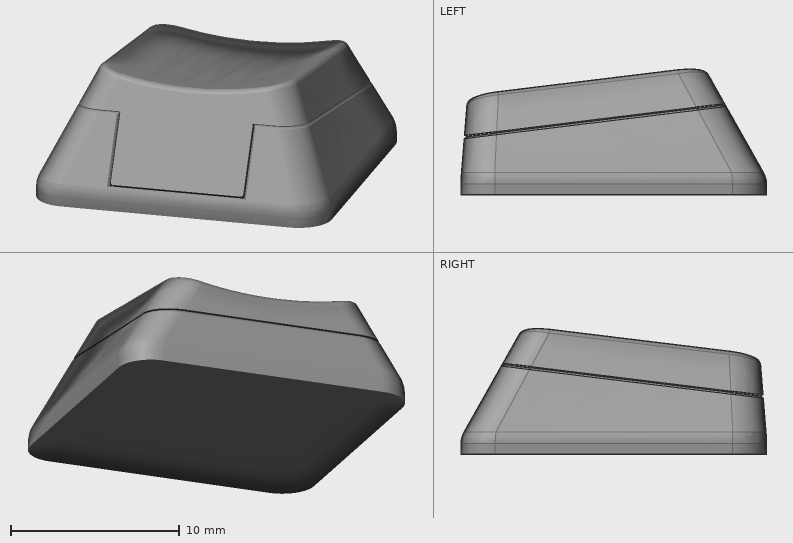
import cadquery as cq
import math

FOOT_SIZE = 18.16
FOOT_CORNER_RADIUS = 2.03
FOOT_HEIGHT = 1.0
BLEND_RISE = 0.35
BLEND_FRONT_RADIUS = 1.89
BLEND_BACK_RADIUS = 1.98
BLEND_OUTLINES = 5

TILT_ANGLE = 7.0
TOP_HEIGHT = 7.05
TOP_HALF_WIDTH = 5.95
TOP_FRONT_Y = -5.3
TOP_BACK_Y = 8.68
TOP_FRONT_RADIUS = 1.63
TOP_BACK_RADIUS = 1.85

DISH_RADIUS = 22.7
RIM_RADIUS = 0.4

SEAM_HEIGHT = 4.54
CLEARANCE = 0.07
BASE_CHAMFER = 0.13

SEAT_HALF_WIDTH = 5.63
SEAT_FRONT_Y = -4.9
SEAT_BACK_Y = 7.08
SEAT_CORNER_RADIUS = 1.09

TAB_HALF_WIDTH = 4.09
TAB_BOTTOM_HEIGHT = 1.55
TAB_DEPTH = 0.6
TAB_CORNER_RADIUS = 0.15
TAB_OVERSHOOT = 0.9

HALF_FOOT = FOOT_SIZE / 2
TILT_SIN = math.sin(math.radians(TILT_ANGLE))
TILT_COS = math.cos(math.radians(TILT_ANGLE))
TILT_TAN = TILT_SIN / TILT_COS
RECESS_HALF_WIDTH = TAB_HALF_WIDTH + CLEARANCE
BLEND_TOP = FOOT_HEIGHT + BLEND_RISE
TOUCH = 0.002

FRONT_RUN = HALF_FOOT + TOP_FRONT_Y
FRONT_RISE = TOP_HEIGHT - TOP_FRONT_Y * TILT_TAN - FOOT_HEIGHT
FRONT_SINE = FRONT_RISE / math.hypot(FRONT_RUN, FRONT_RISE)
FRONT_WALL = cq.Plane(
    origin=(0, -HALF_FOOT, FOOT_HEIGHT),
    xDir=(1, 0, 0),
    normal=(0, -FRONT_RISE, FRONT_RUN),
)


def tilted_plane(height):
    """Plane that rises towards the front and crosses the Z axis at the given height."""
    return cq.Plane(origin=(0, 0, height), xDir=(1, 0, 0), normal=(0, TILT_SIN, TILT_COS))


def rounded_rectangle(plane, half_width, front, back, front_radius, back_radius):
    """Face on the plane: a rectangle centred on X, with its own corner radius at each end."""
    outline = cq.Sketch().push([(0, (front + back) / 2)]).rect(2 * half_width, back - front)
    outline = outline.reset().vertices("<Y").fillet(front_radius)
    outline = outline.reset().vertices(">Y").fillet(back_radius)
    return outline.reset().faces().val().moved(cq.Location(plane))


def wall_inset(top_position, top_y):
    """How far a wall that runs straight to the top outline has moved inwards at the blend's top."""
    wall_height = TOP_HEIGHT - top_y * TILT_TAN - FOOT_HEIGHT
    return BLEND_RISE * (HALF_FOOT - abs(top_position)) / wall_height


def blend_face(progress):
    """Level section of the blend, which follows a parabola from upright (0) to sloped (1)."""
    bend = progress**2
    return rounded_rectangle(
        cq.Plane.XY((0, 0, FOOT_HEIGHT + BLEND_RISE * (2 * progress - 1))),
        HALF_FOOT - bend * wall_inset(TOP_HALF_WIDTH, 0),
        -HALF_FOOT + bend * wall_inset(TOP_FRONT_Y, TOP_FRONT_Y),
        HALF_FOOT - bend * wall_inset(TOP_BACK_Y, TOP_BACK_Y),
        FOOT_CORNER_RADIUS + bend * (BLEND_FRONT_RADIUS - FOOT_CORNER_RADIUS),
        FOOT_CORNER_RADIUS + bend * (BLEND_BACK_RADIUS - FOOT_CORNER_RADIUS),
    )


def foot():
    """Upright foot and the rounded-over blend on top of it."""
    to_ground = cq.Vector(0, 0, BLEND_RISE - FOOT_HEIGHT)
    upright = cq.Solid.extrudeLinear(blend_face(0), to_ground)
    steps = BLEND_OUTLINES - 1
    outlines = [blend_face(step / steps).outerWire() for step in range(BLEND_OUTLINES)]
    blend = cq.Solid.makeLoft(outlines)
    return cq.Workplane(upright).union(cq.Workplane(blend))


def dish():
    """Cylinder that hollows the top and meets the side walls on the tilted top outline."""
    axis_lift = math.sqrt(DISH_RADIUS**2 - TOP_HALF_WIDTH**2)
    section = cq.Plane(
        origin=(0, 0, TOP_HEIGHT), xDir=(1, 0, 0), normal=(0, -TILT_COS, TILT_SIN)
    )
    circle = cq.Workplane(section).center(0, axis_lift).circle(DISH_RADIUS)
    return circle.extrude(FOOT_SIZE, both=True)


def sloped_walls():
    """Straight walls from the blend up to the dished top with its rounded rim."""
    top = rounded_rectangle(
        tilted_plane(TOP_HEIGHT),
        TOP_HALF_WIDTH,
        TOP_FRONT_Y / TILT_COS,
        TOP_BACK_Y / TILT_COS,
        TOP_FRONT_RADIUS,
        TOP_BACK_RADIUS,
    )
    taper = cq.Solid.makeLoft([blend_face(1).outerWire(), top.outerWire()], True)
    dished = cq.Workplane(taper).cut(dish())
    return dished.faces("%CYLINDER").edges().fillet(RIM_RADIUS)


def seam_block(height, thickness):
    """Block wider than the keycap, built up or down from a tilted plane."""
    return cq.Workplane(tilted_plane(height)).rect(2 * FOOT_SIZE, 2 * FOOT_SIZE).extrude(thickness)


def front_block(clearance):
    """Block square to the front wall: the space of the tab, grown by the clearance."""
    lower_end = (TAB_BOTTOM_HEIGHT - FOOT_HEIGHT) / FRONT_SINE - clearance
    upper_end = (SEAM_HEIGHT + HALF_FOOT * TILT_TAN - FOOT_HEIGHT) / FRONT_SINE
    return (
        cq.Workplane(FRONT_WALL)
        .workplane(offset=-TAB_DEPTH)
        .center(0, (lower_end + upper_end) / 2)
        .rect(2 * (TAB_HALF_WIDTH + clearance), upper_end - lower_end)
        .extrude(TAB_DEPTH + TAB_OVERSHOOT)
    )


def is_open_edge(edge):
    """True for the outer edges of the base along the seam and around the mouth of the recess."""
    centre = edge.Center()
    if abs(centre.x) < RECESS_HALF_WIDTH + TOUCH and centre.y < 0:
        on_front = abs(FRONT_WALL.toLocalCoords(centre).z) < TOUCH
        return on_front and centre.z > BLEND_TOP + TOUCH
    return abs(tilted_plane(SEAM_HEIGHT).toLocalCoords(centre).z) < TOUCH


def make_base(keycap):
    """Part of the keycap below the seam, with the front recess and a chamfer along its open edges."""
    lower_part = keycap.intersect(seam_block(SEAM_HEIGHT, -FOOT_SIZE))
    recessed = lower_part.cut(front_block(CLEARANCE))
    return recessed.edges().filter(is_open_edge).chamfer(BASE_CHAMFER)


def make_tab(keycap):
    """Front tab, flush with the front wall and rounded at its two lower corners."""
    across_wall = cq.selectors.ParallelDirSelector(FRONT_WALL.zDir)
    block = front_block(0).edges(across_wall).edges("<Z").fillet(TAB_CORNER_RADIUS)
    return keycap.intersect(block)


def make_seat():
    """Pad that bridges the clearance between the cap and the base."""
    outline = rounded_rectangle(
        tilted_plane(SEAM_HEIGHT),
        SEAT_HALF_WIDTH,
        SEAT_FRONT_Y / TILT_COS,
        SEAT_BACK_Y / TILT_COS,
        SEAT_CORNER_RADIUS,
        SEAT_CORNER_RADIUS,
    )
    return cq.Workplane(cq.Solid.extrudeLinear(outline, tilted_plane(0).zDir * CLEARANCE))


def make_cap(keycap):
    """Part of the keycap above the seam, together with its seat and its front tab."""
    upper_part = keycap.intersect(seam_block(SEAM_HEIGHT + CLEARANCE, FOOT_SIZE))
    return upper_part.union(make_seat()).union(make_tab(keycap))


keycap = foot().union(sloped_walls())
base = make_base(keycap)
cap = make_cap(keycap)

result = cq.Compound.makeCompound([base.solids().val(), cap.solids().val()])